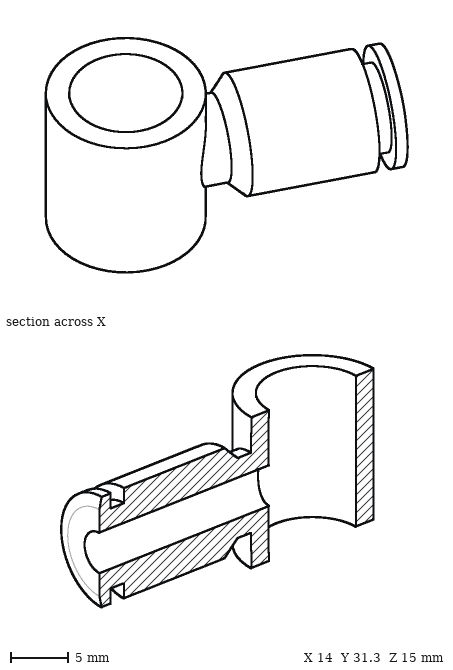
import cadquery as cq

barrel_diameter = 14.0
barrel_height = 15.0
barrel_bore = 9.9

neck_radius = 4.0
body_radius = 5.5
cone_start = 8.5
body_start = cone_start + body_radius - neck_radius
body_end = 21.5
collar_start = 23.0
collar_end = 24.3

bevel_depth = 0.25
bevel_width = 1.2

passage_radius = 2.0


def make_barrel():
    """Solid cylinder of the banjo, centred on Z."""
    return cq.Workplane("XY").circle(barrel_diameter / 2).extrude(barrel_height / 2, both=True)


def make_connector():
    """Neck, cone, body, groove and release collar revolved about the Y axis."""
    return (
        cq.Workplane("XY")
        .lineTo(neck_radius, 0)
        .lineTo(neck_radius, cone_start)
        .lineTo(body_radius, body_start)
        .lineTo(body_radius, body_end)
        .lineTo(neck_radius, body_end)
        .lineTo(neck_radius, collar_start)
        .lineTo(body_radius, collar_start)
        .lineTo(body_radius, collar_end - bevel_depth)
        .lineTo(body_radius - bevel_width, collar_end)
        .lineTo(0, collar_end)
        .close()
        .revolve(360, (0, 0, 0), (0, 1, 0))
    )


def make_bore():
    """Through bore of the barrel."""
    return cq.Workplane("XY").circle(barrel_bore / 2).extrude(barrel_height / 2, both=True)


def make_passage():
    """Round passage along +Y from the barrel axis to the collar face."""
    return (
        cq.Workplane("XY")
        .rect(passage_radius, collar_end, centered=False)
        .revolve(360, (0, 0, 0), (0, 1, 0))
    )


result = make_barrel().union(make_connector()).cut(make_bore()).cut(make_passage())